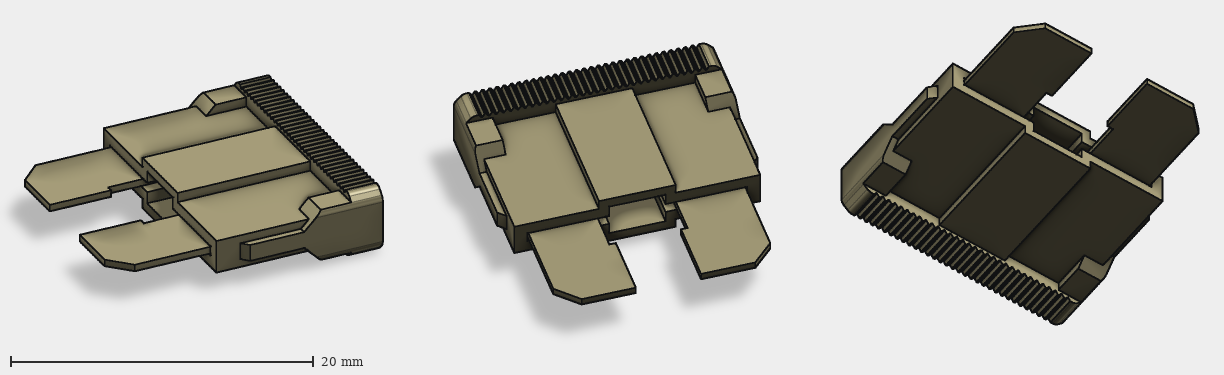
import cadquery as cq
import math


cap_width = 18.0
cap_height = 4.8
cap_corner_chamfer = 0.66
cap_corner_blend_radius = 0.6
cap_length = 2.25
body_length = 12.0
core_width = 17.0
core_height = 2.4
rib_width = 5.3
rib_height = 3.8

groove_pitch = 0.5
groove_count = 32
groove_width = 0.4
groove_floor_width = 0.06
groove_depth = 0.26

arm_inner_x = 7.0
shoulder_length = 4.5
shoulder_end_y = body_length - shoulder_length
rail_height = 1.2
rail_end_chamfer = (cap_width - core_width) / 2
rail_end_y = 1.75

cavity_depth = 9.5
slot_width = 15.2
slot_height = 0.7
pocket_width = 3.9
pocket_height = core_height

blade_width = 15.0
blade_thickness = 0.5
blade_reach = 7.0
foot_inner_x = 2.25
leg_inner_x = 2.7
foot_length = 4.5
foot_chamfer = 1.5

link_width = 0.6
entry_bend_center = (-2.3, 7.0)
entry_bend_radius = 1.45
strand_angle = 30.0
upper_strand_length = 1.9
fold_radius = 0.6
middle_strand_length = 1.58
lower_strand_angle = 15.0
lower_strand_length = 1.61
rise_radius = 0.85
exit_radius = 0.6
exit_length = 0.5


def box(x_range, y_range, z_range):
    """Axis-aligned block between the given limits."""
    (x0, x1), (y0, y1), (z0, z1) = x_range, y_range, z_range
    return cq.Workplane("XY").box(x1 - x0, y1 - y0, z1 - z0, centered=False).translate((x0, y0, z0))


def centered_bar(width, height, y_start, y_end):
    """Block centred on the Y axis."""
    return box((-width / 2, width / 2), (y_start, y_end), (-height / 2, height / 2))


def rounded_bar(y_start):
    """Bar with the full cap section, from y_start to the grip end; its long edges are blended chamfers."""
    bar = centered_bar(cap_width, cap_height, y_start, body_length)
    return bar.edges("|Y").chamfer(cap_corner_chamfer).edges("|Y").fillet(cap_corner_blend_radius)


def make_cap():
    """Grip cap with grooves along Y on its upper and lower faces."""
    cap_start_y = body_length - cap_length
    surface_z = cap_height / 2
    cap = rounded_bar(cap_start_y)
    groove = (
        cq.Workplane("XZ", origin=(0, body_length, 0))
        .moveTo(-groove_width / 2, surface_z)
        .lineTo(-groove_floor_width / 2, surface_z - groove_depth)
        .lineTo(groove_floor_width / 2, surface_z - groove_depth)
        .lineTo(groove_width / 2, surface_z)
        .close()
        .extrude(cap_length)
    )
    cutters = []
    for index in range(groove_count):
        groove_x = (index - (groove_count - 1) / 2) * groove_pitch
        upper_groove = groove.translate((groove_x, 0, 0))
        cutters.append(upper_groove.val())
        cutters.append(upper_groove.mirror("XY").val())
    return cap.cut(cq.Workplane(cq.Compound.makeCompound(cutters)))


def make_side_arms():
    """Left and right arms: shoulder, 45 degree taper and guide rail."""
    shoulder_z = rib_height / 2
    rail_z = rail_height / 2
    taper_end_y = shoulder_end_y - (shoulder_z - rail_z)
    side_shape = (
        cq.Workplane("YZ", origin=(-cap_width / 2, 0, 0))
        .moveTo(rail_end_y, -rail_z)
        .lineTo(taper_end_y, -rail_z)
        .lineTo(shoulder_end_y, -shoulder_z)
        .lineTo(body_length, -shoulder_z)
        .lineTo(body_length, shoulder_z)
        .lineTo(shoulder_end_y, shoulder_z)
        .lineTo(taper_end_y, rail_z)
        .lineTo(rail_end_y, rail_z)
        .close()
        .extrude(cap_width)
    )
    arms = rounded_bar(rail_end_y).intersect(side_shape)
    arms = arms.edges("|Z and <Y").chamfer(rail_end_chamfer)
    return arms.cut(centered_bar(2 * arm_inner_x, cap_height, rail_end_y, body_length))


def make_housing():
    housing = (
        centered_bar(core_width, core_height, 0, body_length)
        .union(centered_bar(rib_width, rib_height, 0, body_length))
        .union(make_side_arms())
        .union(make_cap())
    )
    blade_slot = centered_bar(slot_width, slot_height, 0, cavity_depth)
    link_pocket = centered_bar(pocket_width, pocket_height, 0, cavity_depth)
    return housing.cut(blade_slot).cut(link_pocket)


def make_left_leg():
    """Leg seated against the slot end, with a wider chamfered foot outside the housing."""
    outer_x = blade_width / 2
    foot_end_y = -blade_reach
    foot_start_y = foot_end_y + foot_length
    return (
        cq.Workplane("XY", origin=(0, 0, -blade_thickness / 2))
        .moveTo(-outer_x, cavity_depth)
        .lineTo(-outer_x, foot_end_y + foot_chamfer)
        .lineTo(-outer_x + foot_chamfer, foot_end_y)
        .lineTo(-foot_inner_x, foot_end_y)
        .lineTo(-foot_inner_x, foot_start_y)
        .lineTo(-leg_inner_x, foot_start_y)
        .lineTo(-leg_inner_x, cavity_depth)
        .close()
        .extrude(blade_thickness)
    )


def step_along_bend(x, y, heading, radius, turn):
    """Point reached from (x, y) by following a bend through the given turn, in radians."""
    chord = 2 * radius * math.sin(abs(turn) / 2)
    return x + chord * math.cos(heading + turn / 2), y + chord * math.sin(heading + turn / 2)


def make_fuse_link():
    """Ribbon swept along tangent lines and bends, from the left leg to the right leg."""
    steps = [
        (0, entry_bend_radius, 2 * strand_angle),
        (upper_strand_length, fold_radius, -180),
        (middle_strand_length, fold_radius, 180 - strand_angle + lower_strand_angle),
        (lower_strand_length, rise_radius, 90 - lower_strand_angle),
        (0, exit_radius, -90),
    ]
    start_heading = -math.radians(strand_angle)
    start_x = entry_bend_center[0] + entry_bend_radius * math.sin(start_heading)
    start_y = entry_bend_center[1] - entry_bend_radius * math.cos(start_heading)
    path = cq.Workplane("XY").moveTo(start_x, start_y)
    x, y, heading = start_x, start_y, start_heading
    for length, radius, turn_degrees in steps:
        if length > 0:
            x += length * math.cos(heading)
            y += length * math.sin(heading)
            path = path.lineTo(x, y)
        turn = math.radians(turn_degrees)
        middle = step_along_bend(x, y, heading, radius, turn / 2)
        x, y = step_along_bend(x, y, heading, radius, turn)
        path = path.threePointArc(middle, (x, y))
        heading += turn
    path = path.lineTo(x + exit_length, y)
    section_plane = cq.Plane(
        origin=(start_x, start_y, 0),
        xDir=(-math.sin(start_heading), math.cos(start_heading), 0),
        normal=(math.cos(start_heading), math.sin(start_heading), 0),
    )
    return cq.Workplane(section_plane).rect(link_width, blade_thickness).sweep(path)


def make_blade():
    left_leg = make_left_leg()
    return left_leg.union(left_leg.mirror("YZ")).union(make_fuse_link())


housing = make_housing()
blade = make_blade()
result = cq.Compound.makeCompound([housing.solids().val(), blade.solids().val()])